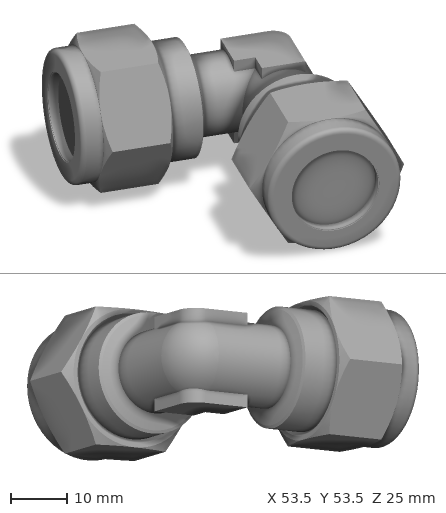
import cadquery as cq
import math

overall_length = 53.45
hex_flats = 25.0
hex_corner_radius = hex_flats / 2 / math.cos(math.radians(30))
branch_length = overall_length - hex_corner_radius

pipe_radius = 7.5
collar_radius = 10.95
collar_start = 14.85
collar_cone_length = 0.8
collar_cone_radius = 10.4
collar_bevel_length = 0.25

nut_start = 22.0
hex_length = 13.0
hex_chamfer_angle = 30.0
nut_rim_radius = 12.4
rim_edge_radius = 0.9
countersink_radius = 11.7
countersink_depth = countersink_radius - collar_radius

socket_radius = 8.05
socket_depth = 2.0
mouth_radius = 8.25
mouth_depth = 0.15

pad_height = 17.1
pad_outer = 4.05
pad_reach = 8.0
pad_corner_radius = 3.2


def cylinder(radius, start, end):
    """Solid cylinder along +X between two distances from the elbow centre."""
    return cq.Workplane("YZ").workplane(offset=start).circle(radius).extrude(end - start)


def revolve_about_x(points):
    """Solid of revolution about X from (distance, radius) points."""
    return cq.Workplane("XY").polyline(points).close().revolve(360, (0, 0, 0), (1, 0, 0))


def make_collar():
    cone_end = collar_start + collar_cone_length
    bevel_end = cone_end + collar_bevel_length
    profile = [
        (collar_start, 0),
        (collar_start, pipe_radius),
        (cone_end, collar_cone_radius),
        (bevel_end, collar_radius),
        (branch_length - socket_depth, collar_radius),
        (branch_length - socket_depth, 0),
    ]
    return revolve_about_x(profile)


def make_hexagon():
    """Hexagon with its corners chamfered by a cone at each end."""
    hex_end = nut_start + hex_length
    flat_radius = hex_flats / 2
    cone_length = (hex_corner_radius - flat_radius) * math.tan(math.radians(hex_chamfer_angle))
    hexagon = (
        cq.Workplane("YZ")
        .workplane(offset=nut_start)
        .polygon(6, 2 * hex_corner_radius)
        .extrude(hex_length)
    )
    envelope = revolve_about_x([
        (nut_start, 0),
        (nut_start, flat_radius),
        (nut_start + cone_length, hex_corner_radius),
        (hex_end - cone_length, hex_corner_radius),
        (hex_end, flat_radius),
        (hex_end, 0),
    ])
    return hexagon.intersect(envelope)


def make_nut():
    rim = cylinder(nut_rim_radius, nut_start + hex_length / 2, branch_length)
    rim = rim.faces(">X").edges().fillet(rim_edge_radius)
    countersink = revolve_about_x([
        (nut_start, 0),
        (nut_start, countersink_radius),
        (nut_start + countersink_depth, collar_radius),
        (nut_start + countersink_depth, 0),
    ])
    return make_hexagon().union(rim).cut(countersink)


def make_branch():
    """One complete branch along +X, open at its socket."""
    socket_floor = branch_length - socket_depth
    branch = cylinder(pipe_radius, 0, nut_start).union(make_nut()).union(make_collar())
    branch = branch.cut(cylinder(socket_radius, socket_floor, branch_length))
    return branch.cut(cylinder(mouth_radius, branch_length - mouth_depth, branch_length))


def make_pads():
    return (
        cq.Workplane("XY")
        .workplane(offset=-pad_height / 2)
        .moveTo(-pad_outer, -pad_reach)
        .lineTo(-pad_outer, pad_outer - pad_corner_radius)
        .radiusArc((-pad_outer + pad_corner_radius, pad_outer), pad_corner_radius)
        .lineTo(pad_reach, pad_outer)
        .lineTo(pad_reach, -pad_outer)
        .lineTo(pad_outer, -pad_outer)
        .lineTo(pad_outer, -pad_reach)
        .close()
        .extrude(pad_height)
    )


branch_x = make_branch()
branch_y = branch_x.rotate((0, 0, 0), (0, 0, 1), -90)
elbow_ball = cq.Workplane("XY").sphere(pipe_radius)

result = branch_x.union(branch_y).union(elbow_ball).union(make_pads())